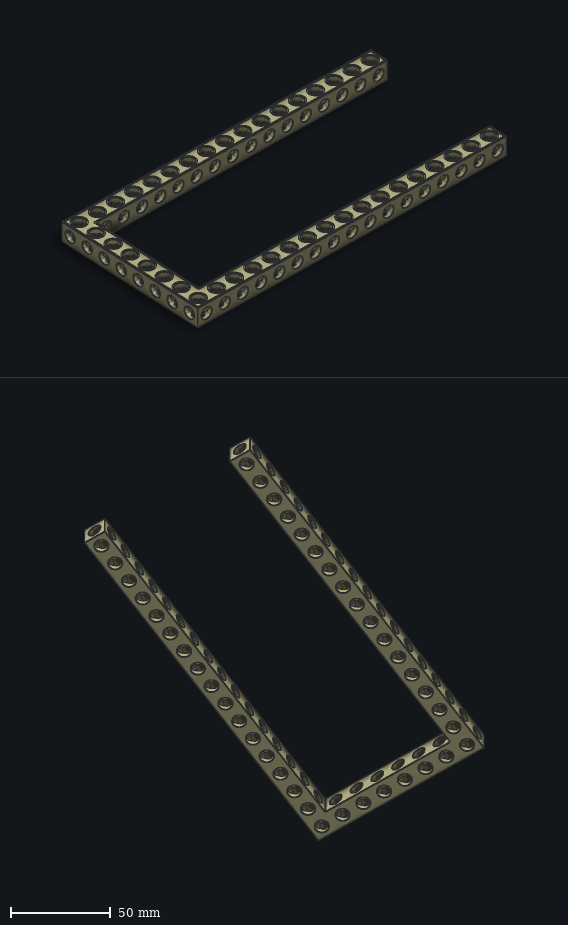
import cadquery as cq

LENGTH = 212.5
CELLS_LONG = 17
CELLS_WIDE = 8
PITCH = LENGTH / CELLS_LONG
WIDTH = CELLS_WIDE * PITCH
HALF_HEIGHT = PITCH / 2

HOLE_DIAMETER = 7.0
HOLE_RADIUS = HOLE_DIAMETER / 2

CHAMFER = 0.3

RIM_WIDTH = 1.0
RECESS_DEPTH = 0.2


def cell_centre(index):
    """Distance from the outer corner of the frame to the middle of a cell."""
    return (index + 0.5) * PITCH


def u_prism(inset, bottom, height):
    """U-shaped prism, open toward +Y, with every side moved inward by the inset."""
    inner_left = PITCH - inset
    inner_right = WIDTH - PITCH + inset
    outline = [
        (inset, inset),
        (WIDTH - inset, inset),
        (WIDTH - inset, LENGTH - inset),
        (inner_right, LENGTH - inset),
        (inner_right, PITCH - inset),
        (inner_left, PITCH - inset),
        (inner_left, LENGTH - inset),
        (inset, LENGTH - inset),
    ]
    return cq.Workplane("XY").workplane(offset=bottom).polyline(outline).close().extrude(height)


def frame_cells():
    """Column and row of every cell in the two legs and the crossbar."""
    legs = [(column, row) for column in (0, CELLS_WIDE - 1) for row in range(CELLS_LONG)]
    crossbar = [(column, 0) for column in range(1, CELLS_WIDE - 1)]
    return legs + crossbar


def bore(start, end):
    """Straight hole between two faces of the frame, chamfered where it meets each of them."""
    start, end = cq.Vector(*start), cq.Vector(*end)
    axis = (end - start).normalized()
    hole = cq.Solid.makeCylinder(HOLE_RADIUS, (end - start).Length, start, axis)
    mouth = HOLE_RADIUS + CHAMFER
    start_cone = cq.Solid.makeCone(mouth, HOLE_RADIUS, CHAMFER, start, axis)
    end_cone = cq.Solid.makeCone(mouth, HOLE_RADIUS, CHAMFER, end, axis * -1)
    return [hole, start_cone, end_cone]


def holes_along_x():
    """One long bore through the crossbar, and a short one through each leg in every other row."""
    cutters = bore((0, cell_centre(0), 0), (WIDTH, cell_centre(0), 0))
    for row in range(1, CELLS_LONG):
        for leg_start in (0, WIDTH - PITCH):
            cutters += bore((leg_start, cell_centre(row), 0), (leg_start + PITCH, cell_centre(row), 0))
    return cutters


def holes_along_y():
    """One long bore down each leg, and short ones through the crossbar between the legs."""
    cutters = []
    for column in range(CELLS_WIDE):
        is_leg = column in (0, CELLS_WIDE - 1)
        bore_end = LENGTH if is_leg else PITCH
        cutters += bore((cell_centre(column), 0, 0), (cell_centre(column), bore_end, 0))
    return cutters


def holes_along_z():
    """A bore down through every cell."""
    cutters = []
    for column, row in frame_cells():
        x, y = cell_centre(column), cell_centre(row)
        cutters += bore((x, y, -HALF_HEIGHT), (x, y, HALF_HEIGHT))
    return cutters


def upper_recess():
    """Cutter for the shallow recess, leaving the rims at the outline and the holes."""
    floor = HALF_HEIGHT - RECESS_DEPTH
    centres = [(cell_centre(column), cell_centre(row)) for column, row in frame_cells()]
    rims = cq.Workplane("XY").workplane(offset=floor).pushPoints(centres)
    rims = rims.circle(HOLE_RADIUS + RIM_WIDTH).extrude(RECESS_DEPTH)
    return u_prism(RIM_WIDTH, floor, RECESS_DEPTH).cut(rims)


frame = u_prism(0, -HALF_HEIGHT, PITCH).edges().chamfer(CHAMFER).cut(upper_recess())
body = frame.val().cut(*holes_along_x(), *holes_along_y(), *holes_along_z())
result = cq.Workplane("XY").newObject([body.Solids()[0]])